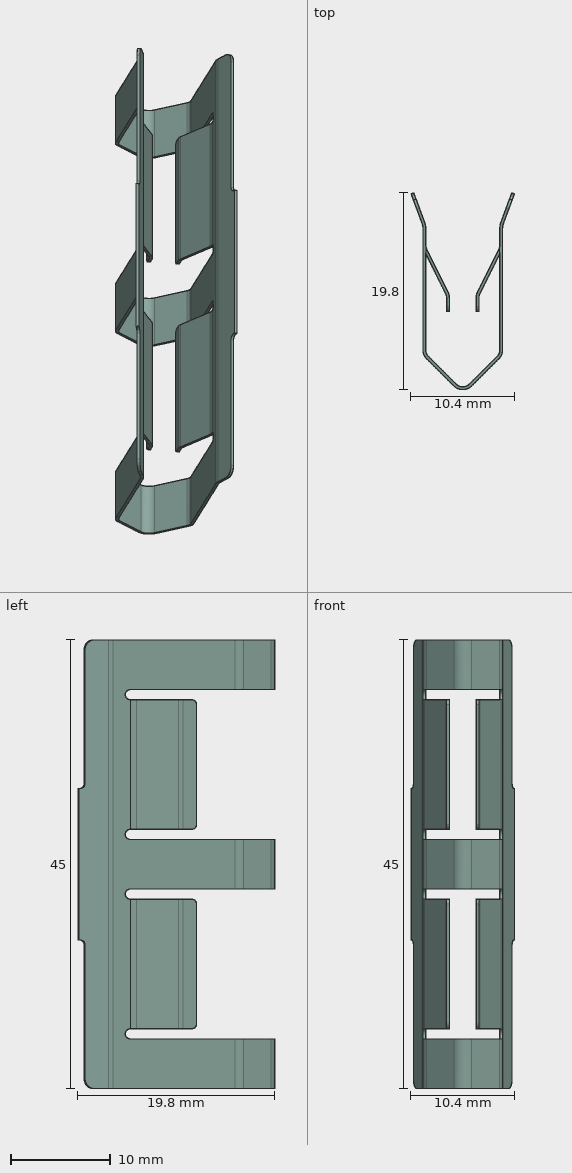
import cadquery as cq
import math

height = 45.0
depth = 19.75
thickness = 0.3
wall_width = 8.0

nose_angle = 45.0
nose_tip_radius = 1.25
nose_side_radius = 1.15

lip_angle = 20.3
lip_corner_y = 16.45
lip_bend_radius = 1.4
lip_step = 0.68
lip_middle_height = 15.2
lip_corner_radius = 1.0
lip_step_radius = 0.5

arm_height = 5.0
tab_height = 13.0
slot_end_y = 15.0
tab_root_y = 14.6
tab_gap = 2.65
tab_angle = 26.5
tab_root_radius = 1.45
tab_end_bend_radius = 1.1
tab_end_y = 7.85
tab_corner_radius = 0.5

half_sheet = thickness / 2
wall_x = wall_width / 2 - half_sheet
window_height = (height - 3 * arm_height) / 2
window_z = (arm_height + window_height) / 2
slot_radius = (window_height - tab_height) / 4
slot_centre_y = slot_end_y - slot_radius
lip_slope = math.radians(lip_angle)
lip_length = (depth - half_sheet * math.sin(lip_slope) - lip_corner_y) / math.cos(lip_slope)


def direction(start, end):
    """Unit vector from one point to another."""
    length = math.dist(start, end)
    return (end[0] - start[0]) / length, (end[1] - start[1]) / length


def strip(corners, radii, strip_height):
    """Sheet strip centred on Z = 0, following mid-sheet corners with rounded bends."""
    headings = [direction(a, b) for a, b in zip(corners, corners[1:])]

    def offset_face(side):
        """Start point, (bend start, bend middle, bend end) triples and end point of one face."""

        def shifted(point, heading):
            return point[0] - side * half_sheet * heading[1], point[1] + side * half_sheet * heading[0]

        bends = []
        for corner, radius, before, after in zip(corners[1:-1], radii, headings, headings[1:]):
            turn = math.atan2(before[0] * after[1] - before[1] * after[0],
                              before[0] * after[0] + before[1] * after[1])
            setback = radius * math.tan(abs(turn) / 2)
            start = (corner[0] - setback * before[0], corner[1] - setback * before[1])
            end = (corner[0] + setback * after[0], corner[1] + setback * after[1])
            hand = math.copysign(1, turn)
            centre = (start[0] - hand * radius * before[1], start[1] + hand * radius * before[0])
            outward = direction(centre, corner)
            face_radius = radius - hand * side * half_sheet
            middle = (centre[0] + face_radius * outward[0], centre[1] + face_radius * outward[1])
            bends.append((shifted(start, before), middle, shifted(end, after)))
        return shifted(corners[0], headings[0]), bends, shifted(corners[-1], headings[-1])

    left_start, left_bends, left_end = offset_face(1)
    right_start, right_bends, right_end = offset_face(-1)
    outline = cq.Workplane("XY").workplane(offset=-strip_height / 2).moveTo(*left_start)
    for start, middle, end in left_bends:
        outline = outline.lineTo(*start).threePointArc(middle, end)
    outline = outline.lineTo(*left_end).lineTo(*right_end)
    for start, middle, end in reversed(right_bends):
        outline = outline.lineTo(*end).threePointArc(middle, start)
    return outline.lineTo(*right_start).close().extrude(strip_height)


def both_sides(solid):
    """The solid together with its mirror image across X = 0."""
    return solid.union(solid.mirror("YZ"))


def clip_body():
    """Full-height U-shaped strip from lip to lip around the nose."""
    tip_y = nose_tip_radius - (nose_tip_radius - half_sheet) / math.sin(math.radians(nose_angle))
    nose_side_y = tip_y + wall_x / math.tan(math.radians(nose_angle))
    lip_end = (wall_x + lip_length * math.sin(lip_slope), lip_corner_y + lip_length * math.cos(lip_slope))
    right_half = [(wall_x, nose_side_y), (wall_x, lip_corner_y), lip_end]
    left_half = [(-x, y) for x, y in reversed(right_half)]
    side_radius = nose_side_radius - half_sheet
    tip_radius = nose_tip_radius - half_sheet
    radii = [lip_bend_radius, side_radius, tip_radius, side_radius, lip_bend_radius]
    return strip(left_half + [(0, tip_y)] + right_half, radii, height)


def lip_trim():
    """Cutter for the right lip: stepped ends and rounded corners, square to the lip face."""
    shoulder = lip_length - lip_step
    cutter_reach = lip_length + lip_step
    cutter_width = 4 * thickness
    notch_height = (height - lip_middle_height) / 2
    notch_z = (height + lip_middle_height) / 4
    trim = cq.Workplane("XY")
    for end in (1, -1):
        notch = (
            cq.Workplane("XY")
            .box(cutter_width, cutter_reach - shoulder, notch_height)
            .translate((0, (cutter_reach + shoulder) / 2, end * notch_z))
            .edges("|X and <Y")
            .edges("<Z" if end > 0 else ">Z")
            .fillet(lip_step_radius)
        )
        corner = (
            cq.Workplane("YZ", origin=(-cutter_width / 2, 0, 0))
            .moveTo(shoulder, end * (height / 2 - lip_corner_radius))
            .radiusArc((shoulder - lip_corner_radius, end * height / 2), -end * lip_corner_radius)
            .lineTo(shoulder, end * height / 2)
            .close()
            .extrude(cutter_width)
        )
        trim = trim.union(notch).union(corner)
    return trim.rotate((0, 0, 0), (0, 0, 1), -lip_angle).translate((wall_x, lip_corner_y, 0))


def window():
    """Cutter separating two arms, ending in a round relief slot on each side of the tab root."""
    opening = (
        cq.Workplane("XY")
        .box(wall_width, slot_centre_y, window_height)
        .translate((0, slot_centre_y / 2, 0))
    )
    slot_z = window_height / 2 - slot_radius
    slot_ends = (
        cq.Workplane("YZ", origin=(-wall_width / 2, 0, 0))
        .pushPoints([(slot_centre_y, slot_z), (slot_centre_y, -slot_z)])
        .circle(slot_radius)
        .extrude(wall_width)
    )
    return opening.union(slot_ends)


def tab():
    """Right spring tab, leaning inwards from the wall and ending parallel to it."""
    slope = math.radians(tab_angle)
    root_corner_y = tab_root_y - tab_root_radius * math.tan(slope / 2)
    tip_x = tab_gap / 2 + half_sheet
    tip_corner_y = root_corner_y - (wall_x - tip_x) / math.tan(slope)
    corners = [(wall_x, slot_end_y), (wall_x, root_corner_y),
               (tip_x, tip_corner_y), (tip_x, tab_end_y)]
    bent = strip(corners, [tab_root_radius, tab_end_bend_radius], tab_height)
    return bent.edges("|X and <Y").fillet(tab_corner_radius)


result = clip_body().cut(both_sides(lip_trim()))
for level in (-window_z, window_z):
    result = result.cut(window().translate((0, 0, level)))
    result = result.union(both_sides(tab()).translate((0, 0, level)))